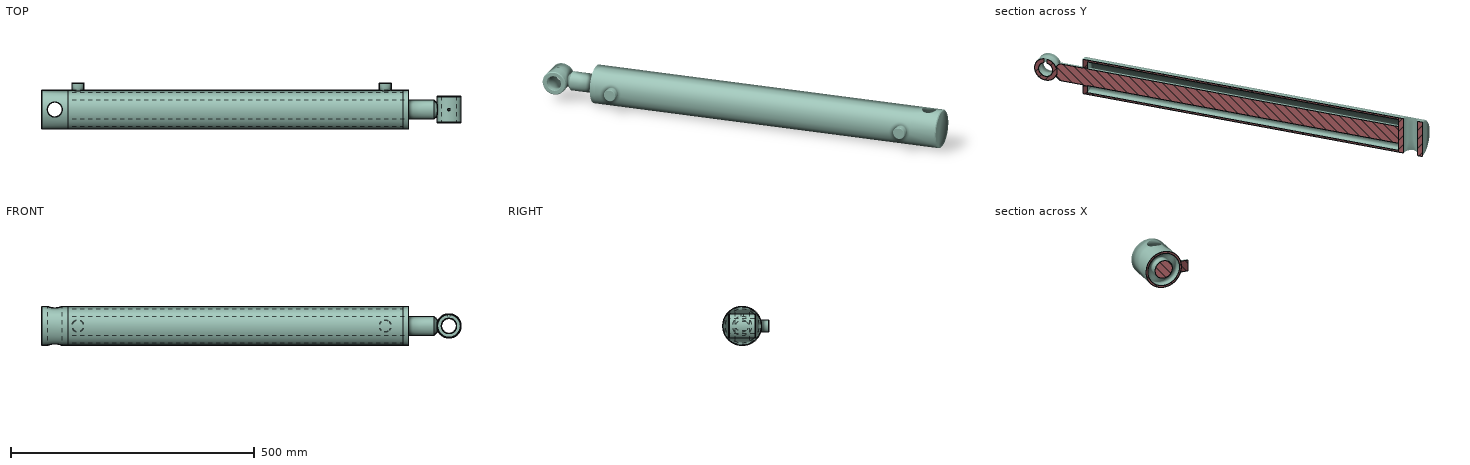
import cadquery as cq


total_length = 863.0
overall_width = 95.0
body_diameter = 80.0
body_radius = body_diameter / 2

base_length = 55.0
base_hole_diameter = 30.0
base_hole_x = base_length / 2
base_chamfer = 2.0

body_end_x = 755.0
gland_length = 11.0
barrel_wall = 5.0
barrel_length = body_end_x - base_length - gland_length
gland_x = base_length + barrel_length

eye_diameter = 50.0
eye_bore_diameter = 30.0
bore_chamfer = 1.0
eye_length = 55.0
eye_chamfer = 2.0
eye_x = total_length - eye_diameter / 2
grease_hole_diameter = 5.0

rod_diameter = 40.0
rod_cone_start_x = 807.0
rod_cone_length = 8.0

port_diameter = 25.0
port_top_y = overall_width - body_radius
port_chamfer = 1.0
port_positions_x = (75.0, 707.0)


def x_cylinder(start_x, length, diameter):
    """Cylinder on the main axis, from start_x towards +X."""
    return cq.Workplane("YZ").workplane(offset=start_x).circle(diameter / 2).extrude(length)


def y_cylinder(center_x, length, diameter):
    """Cylinder along Y, centred on the main axis at center_x."""
    start = cq.Workplane("XZ", origin=(center_x, length / 2, 0))
    return start.circle(diameter / 2).extrude(length)


def make_base():
    base = x_cylinder(0, base_length, body_diameter).faces("<X").chamfer(base_chamfer)
    hole_start = cq.Workplane("XY", origin=(base_hole_x, 0, -body_radius))
    pin_hole = hole_start.circle(base_hole_diameter / 2).extrude(body_diameter)
    return base.cut(pin_hole)


def make_barrel():
    bore = x_cylinder(base_length, barrel_length, body_diameter - 2 * barrel_wall)
    return x_cylinder(base_length, barrel_length, body_diameter).cut(bore)


def make_gland():
    rod_bore = x_cylinder(gland_x, gland_length, rod_diameter)
    return x_cylinder(gland_x, gland_length, body_diameter).cut(rod_bore)


def make_rod():
    rod = x_cylinder(base_length, rod_cone_start_x + rod_cone_length - base_length, rod_diameter)
    rod = rod.faces(">X").chamfer(rod_cone_length)
    return rod.cut(y_cylinder(eye_x, 2 * eye_length, eye_diameter))


def make_eye():
    eye = y_cylinder(eye_x, eye_length, eye_diameter).faces("<Y or >Y").chamfer(eye_chamfer)
    eye = eye.cut(y_cylinder(eye_x, eye_length, eye_bore_diameter))
    eye = eye.faces("<Y or >Y").edges(cq.selectors.RadiusNthSelector(0)).chamfer(bore_chamfer)
    hole_start = cq.Workplane("XY", origin=(eye_x, 0, 0))
    grease_hole = hole_start.circle(grease_hole_diameter / 2).extrude(eye_diameter)
    return eye.cut(grease_hole)


def make_port(center_x):
    boss_start = cq.Workplane("XZ", origin=(center_x, port_top_y, 0))
    boss = boss_start.circle(port_diameter / 2).extrude(port_top_y)
    boss = boss.faces(">Y").chamfer(port_chamfer)
    return boss.cut(x_cylinder(0, total_length, body_diameter))


base = make_base()
barrel = make_barrel()
gland = make_gland()
rod = make_rod()
eye = make_eye()
ports = [make_port(x).val() for x in port_positions_x]

result = cq.Compound.makeCompound(
    [base.val(), barrel.val(), gland.val(), rod.val(), eye.val(), *ports]
)